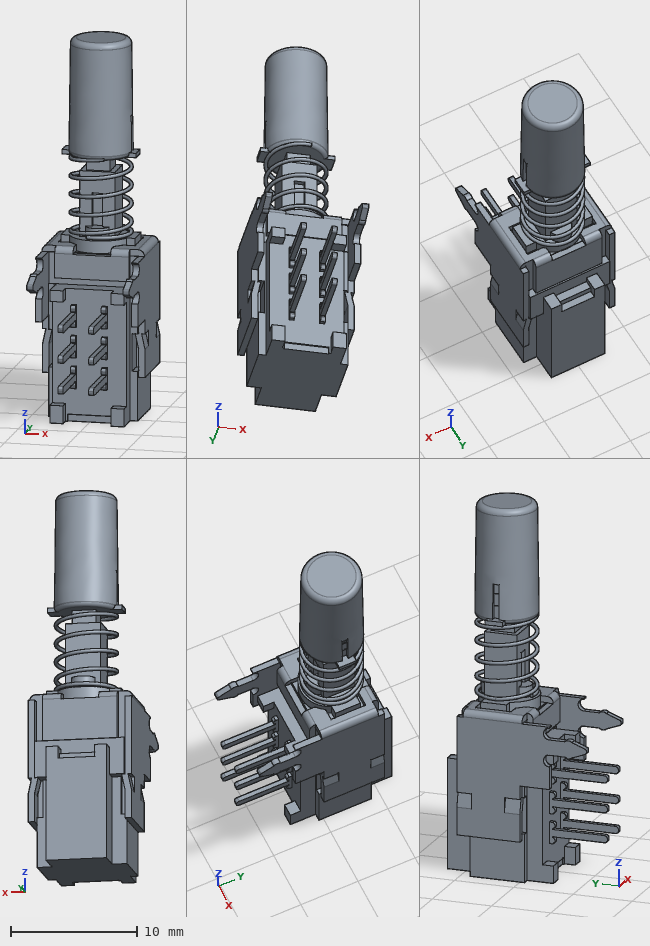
import cadquery as cq

total_height = 30.35
total_width = 8.3

sheet = 0.52
bracket_top = 13.93
bend_bottom = 13.38
bracket_front, bracket_back = -3.35, 2.67
flap_half_width = 3.0
front_flap_bottom = 11.4
window_half_width, window_half_depth = 3.1, 1.52
slot_half_width = 1.52
flange_bottom = 3.52
flange_front = -2.65
ear_front, ear_bottom = -5.13, 8.2
relief_radius = 0.5
prong_z, prong_half, prong_bulge_half, prong_tip_half = 11.68, 0.65, 0.75, 0.18
prong_bulge_start, prong_bulge_end = -6.43, -7.05
prong_tip, prong_tip_fillet = -8.25, 0.15
lance_bottom, lance_top, lance_lean = 5.83, 7.07, 0.27
lance_spans = ((-2.65, -1.35), (1.45, bracket_back))

housing_front, housing_back = bracket_front + sheet, 1.75
flange_inner = total_width / 2 - sheet
housing_half_width = 3.6
upper_front_recess = 0.1
housing_top = bracket_top - sheet
upper_back = bracket_back - sheet
ledge_back, ledge_top = 2.82, 10.0
catch_bottom, catch_half_width = 4.05, 3.15
rear_half_width, rear_back, rear_top = 2.43, 4.13, 9.22
rear_slot_half_width, rear_slot_step = 1.5, 3.52
rear_pocket_depth, rear_notch_depth = 0.5, 0.97

block_half_width, block_front, block_top = 3.0, -4.13, 10.8
pad_inner, pad_front, upper_pad_height, lower_pad_height = 1.95, -5.05, 0.9, 1.45
lip_half_width, lip_height, lip_recess = 1.8, 0.58, 0.12

terminal_thickness, terminal_pitch = 0.4, 2.5
terminal_x = terminal_pitch / 2
lowest_terminal_z = 3.65
terminal_rows = 3
terminal_embed = 0.5
pin_tip, pin_width, pin_fillet = -9.0, 0.6, 0.25
shoulder_height, shoulder_front = 1.8, -4.58
shoulder_neck, lobe_height, lobe_fillet = -4.4, 0.55, 0.25

collar_radius, collar_y, collar_top = 2.45, -0.228, 14.4
collar_tab_half_width, collar_tab_half_depth = 3.0, 1.1

shaft_x, shaft_y, shaft_top = 2.85, 2.73, 19.75
groove_width, groove_depth, groove_top = 0.85, 0.4, 18.0
boss_radius, boss_reach, boss_top = 0.97, 2.12, 15.3
neck_x, neck_y = 1.9, 2.0

cap_bottom, cap_rim = 20.87, 21.25
cap_bottom_radius, cap_top_radius = 2.55, 2.43
cap_fillet = 0.5
cap_rim_fillet = 0.33
cap_slot_width, cap_slot_top, cap_slot_floor = 0.52, 24.15, 2.18
barb_bottom, barb_top, barb_height = 22.3, 23.3, 0.1
cap_tab_half_width, cap_tab_depth = 3.0, 1.5

wire_radius, spring_radius, spring_pitch = 0.15, 2.4, 1.5
end_turn_angle = 285
coil_start, spring_turns = 14.6, 4.3


def block(x_range, y_range, z_range):
    """Axis-aligned box between the given limits."""
    size = [high - low for low, high in (x_range, y_range, z_range)]
    corner = (x_range[0], y_range[0], z_range[0])
    return cq.Workplane("XY").box(*size, centered=False).translate(corner)


def centred(half_width, y_range, z_range):
    """Box symmetric about the YZ plane."""
    return block((-half_width, half_width), y_range, z_range)


def both_sides(solid):
    """A feature together with its mirror image in the YZ plane."""
    return solid.union(solid.mirror("YZ"))


def housing():
    """Main body, stepped at the rear, with recesses for the bracket catches."""
    body = centred(housing_half_width, (housing_front, housing_back), (0, housing_top))
    recess_y = (housing_front, housing_front + upper_front_recess)
    body = body.cut(centred(housing_half_width, recess_y, (block_top, housing_top)))
    body = body.union(centred(housing_half_width, (housing_back, upper_back), (lance_top, housing_top)))
    body = body.union(centred(housing_half_width, (upper_back, ledge_back), (lance_top, ledge_top)))
    rear = centred(rear_half_width, (0, rear_back), (0, rear_top))
    rear = rear.cut(
        centred(rear_slot_half_width, (rear_slot_step, rear_back), (rear_top - rear_notch_depth, rear_top))
    )
    rear = rear.cut(
        centred(rear_slot_half_width, (ledge_back, rear_slot_step), (rear_top - rear_pocket_depth, rear_top))
    )
    outer = (catch_half_width, housing_half_width)
    catch_z = (catch_bottom, lance_top)
    front_recess = block(outer, (housing_front, lance_spans[0][1]), catch_z)
    back_recess = block(outer, (lance_spans[1][0], housing_back), catch_z)
    body = body.cut(both_sides(front_recess)).cut(both_sides(back_recess))
    return body.union(rear)


def terminal_block():
    """Front block carrying four corner standoff pads."""
    body = centred(block_half_width, (block_front, housing_front), (0, block_top))
    lip = centred(lip_half_width, (block_front, block_front + lip_recess), (0, lip_height))
    body = body.cut(lip)
    for z_range in ((0, lower_pad_height), (block_top - upper_pad_height, block_top)):
        pad = block((pad_inner, block_half_width), (pad_front, block_front), z_range)
        body = body.union(both_sides(pad))
    return body


def terminal(x, z):
    """Flat terminal: straight pin with a rounded lobe above and below its root."""
    embedded = block_front + terminal_embed
    x_range = (x - terminal_thickness / 2, x + terminal_thickness / 2)
    pin = block(x_range, (pin_tip, embedded), (z - pin_width / 2, z + pin_width / 2))
    pin = pin.edges("<Y and |X").fillet(pin_fillet)
    half_height = shoulder_height / 2
    root = block(x_range, (shoulder_neck, embedded), (z - half_height, z + half_height))
    for low in (z - half_height, z + half_height - lobe_height):
        lobe = block(x_range, (shoulder_front, embedded), (low, low + lobe_height))
        root = root.union(lobe.edges("<Y and |X").fillet(lobe_fillet))
    return root.union(pin)


def side_flange():
    """Right-hand flange with its solder prong and two bent-in catches."""
    upper_relief = prong_z + prong_half + relief_radius
    lower_relief = prong_z - prong_half - relief_radius
    relief_bottom_y = ear_front + relief_radius
    bulge_y = (prong_bulge_start + prong_bulge_end) / 2
    flange = (
        cq.Workplane("YZ")
        .moveTo(bracket_back, flange_bottom)
        .lineTo(bracket_back, bend_bottom)
        .lineTo(ear_front, bend_bottom)
        .lineTo(ear_front, upper_relief + relief_radius)
        .threePointArc((relief_bottom_y, upper_relief), (ear_front, upper_relief - relief_radius))
        .lineTo(prong_bulge_start, prong_z + prong_half)
        .threePointArc((bulge_y, prong_z + prong_bulge_half), (prong_bulge_end, prong_z + prong_half))
        .lineTo(prong_tip, prong_z + prong_tip_half)
        .lineTo(prong_tip, prong_z - prong_tip_half)
        .lineTo(prong_bulge_end, prong_z - prong_half)
        .threePointArc((bulge_y, prong_z - prong_bulge_half), (prong_bulge_start, prong_z - prong_half))
        .lineTo(ear_front, lower_relief + relief_radius)
        .threePointArc((relief_bottom_y, lower_relief), (ear_front, lower_relief - relief_radius))
        .lineTo(ear_front, ear_bottom)
        .lineTo(flange_front, ear_bottom)
        .lineTo(flange_front, flange_bottom)
        .close()
        .extrude(sheet)
        .translate((flange_inner, 0, 0))
    )
    flange = flange.edges("|X and <Y").fillet(prong_tip_fillet)
    outer, inner = total_width / 2, flange_inner
    for near, far in lance_spans:
        flange = flange.cut(block((inner, outer), (near, far), (lance_bottom, lance_top)))
        catch = (
            cq.Workplane("XZ", origin=(0, far, 0))
            .moveTo(outer, lance_bottom)
            .lineTo(outer - lance_lean, lance_top)
            .lineTo(inner - lance_lean, lance_top)
            .lineTo(inner, lance_bottom)
            .close()
            .extrude(far - near)
        )
        flange = flange.union(catch)
    return flange


def bracket():
    """Sheet-metal cover: top with bent edges, front and rear flaps and two side flanges."""
    bend_z = (bend_bottom, bracket_top)
    across = centred(total_width / 2, (housing_front, upper_back), bend_z)
    across = across.edges("|Y and >Z").fillet(sheet)
    along = centred(flap_half_width, (bracket_front, bracket_back), bend_z)
    along = along.edges("|X and >Z").fillet(sheet)
    flap_z = (front_flap_bottom, bend_bottom)
    top = across.union(along)
    top = top.cut(centred(window_half_width, (-window_half_depth, window_half_depth), bend_z))
    top = top.cut(centred(slot_half_width, (bracket_front, bracket_back), bend_z))
    top = top.union(centred(flap_half_width, (bracket_front, housing_front), flap_z))
    top = top.union(centred(flap_half_width, (upper_back, bracket_back), (ledge_top, bend_bottom)))
    return top.union(both_sides(side_flange()))


def collar():
    """Round collar with a tab at each side, seated in the bracket window."""
    height = collar_top - housing_top
    ring = cq.Workplane("XY", origin=(0, collar_y, housing_top)).circle(collar_radius).extrude(height)
    tab_y = (-collar_tab_half_depth, collar_tab_half_depth)
    return ring.union(centred(collar_tab_half_width, tab_y, (housing_top, collar_top)))


def plunger():
    """Square shaft with a front groove, round bosses at its foot and a narrower neck."""
    shaft = centred(shaft_x / 2, (-shaft_y / 2, shaft_y / 2), (housing_top, shaft_top))
    groove_y = (-shaft_y / 2, groove_depth - shaft_y / 2)
    shaft = shaft.cut(centred(groove_width / 2, groove_y, (housing_top, groove_top)))
    boss_offset = boss_reach - boss_radius
    bosses = (
        cq.Workplane("XY", origin=(0, 0, housing_top))
        .pushPoints([(0, -boss_offset), (0, boss_offset)])
        .circle(boss_radius)
        .extrude(boss_top - housing_top)
    )
    neck = centred(neck_x / 2, (-neck_y / 2, neck_y / 2), (shaft_top, cap_rim))
    return shaft.union(bosses).union(neck)


def cap():
    """Tapered push cap with side slots and tabs at its lower rim."""
    profile = (
        cq.Workplane("XZ")
        .moveTo(0, cap_bottom)
        .lineTo(cap_bottom_radius, cap_bottom)
        .lineTo(cap_bottom_radius, cap_rim)
        .lineTo(cap_top_radius, total_height)
        .lineTo(0, total_height)
        .close()
    )
    body = profile.revolve(360, (0, 0, 0), (0, 1, 0))
    body = body.edges(">Z").fillet(cap_fillet).edges("<Z").fillet(cap_rim_fillet)
    half_slot = cap_slot_width / 2
    slot = block((cap_slot_floor, cap_bottom_radius), (-half_slot, half_slot), (cap_rim, cap_slot_top))
    barb = block(
        (cap_slot_floor, cap_slot_floor + barb_height), (-half_slot, half_slot), (barb_bottom, barb_top)
    )
    tab_y = (-cap_tab_depth / 2, cap_tab_depth / 2)
    tabs = centred(cap_tab_half_width, tab_y, (cap_bottom, cap_rim))
    return body.cut(both_sides(slot.cut(barb))).union(tabs)


def wire_section():
    """Round wire section where the coil meets its end turn."""
    return cq.Workplane("XZ", origin=(spring_radius, 0, 0)).circle(wire_radius)


def spring():
    """Right-handed coil continuing a flat end turn; both share one wire section."""
    path = cq.Wire.makeHelix(spring_pitch, spring_turns * spring_pitch, spring_radius)
    coil = wire_section().sweep(cq.Workplane(obj=path), isFrenet=True)
    end_turn = wire_section().revolve(end_turn_angle, (-spring_radius, 0, 0), (-spring_radius, -1, 0))
    return coil.union(end_turn).rotate((0, 0, 0), (0, 0, 1), 180).translate((0, 0, coil_start))


result = housing().union(terminal_block()).union(bracket()).union(collar()).union(plunger()).union(cap())
for side in (-1, 1):
    for row in range(terminal_rows):
        result = result.union(terminal(side * terminal_x, lowest_terminal_z + row * terminal_pitch))
result = result.union(spring())